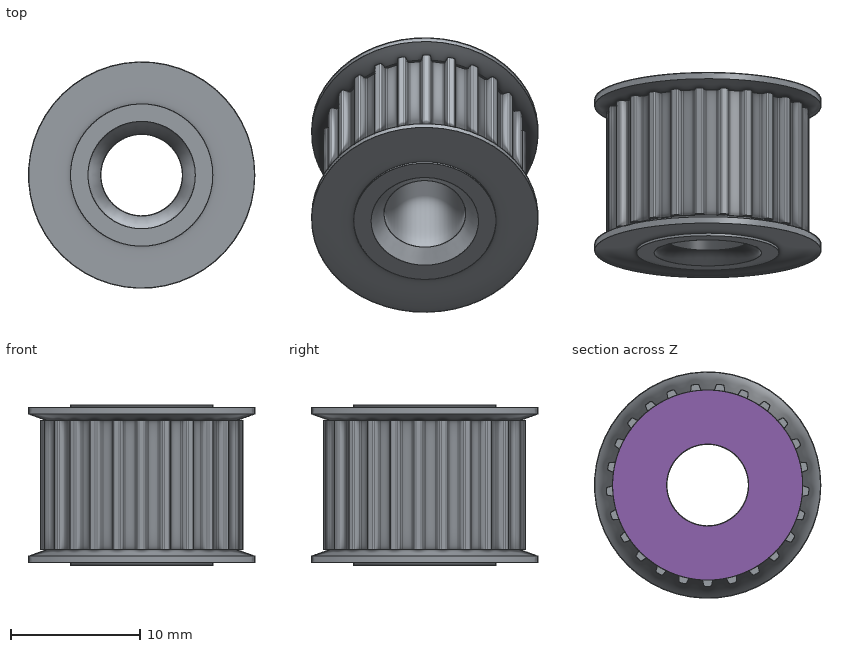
import cadquery as cq
import math

overall_length = 12.4
flange_outer_face_z = 6.0
flange_rim_thickness = 0.5
toothed_length = 10.0

flange_radius = 17.5 / 2
flange_cone_inner_radius = 7.35
hub_radius = 11.0 / 2
bore_radius = 6.3 / 2
bore_chamfer = 1.0

tooth_count = 25
tooth_tip_radius = 7.83
groove_depth = 0.64
groove_floor_width = 0.945
groove_flank_angle = math.radians(20)
tooth_rounding = 0.13
first_tooth_angle = -90.0

tooth_pitch_angle = 360.0 / tooth_count
groove_floor_radius = tooth_tip_radius - groove_depth
flange_rim_inner_z = flange_outer_face_z - flange_rim_thickness


def make_groove_cutter():
    """Trapezoidal prism for one belt groove, opening toward +X."""
    opening_radius = tooth_tip_radius + groove_depth
    flank_spread = (opening_radius - groove_floor_radius) * math.tan(groove_flank_angle)
    floor_half = groove_floor_width / 2
    opening_half = floor_half + flank_spread
    return (
        cq.Workplane("XY", origin=(0, 0, -toothed_length / 2))
        .polyline([
            (groove_floor_radius, -floor_half),
            (opening_radius, -opening_half),
            (opening_radius, opening_half),
            (groove_floor_radius, floor_half),
        ])
        .close()
        .extrude(toothed_length)
    )


def make_toothed_body():
    """Cylinder with evenly spaced belt grooves, rounded at every tooth tip and root."""
    body = (
        cq.Workplane("XY", origin=(0, 0, -toothed_length / 2))
        .circle(tooth_tip_radius)
        .extrude(toothed_length)
    )
    cutter = make_groove_cutter()
    for index in range(tooth_count):
        groove_angle = first_tooth_angle + (index + 0.5) * tooth_pitch_angle
        body = body.cut(cutter.rotate((0, 0, 0), (0, 0, 1), groove_angle))
    return body.edges("|Z").fillet(tooth_rounding)


def make_end_cap():
    """Upper flange with a conical inner face, topped by the raised hub face."""
    return (
        cq.Workplane("XZ")
        .polyline([
            (0, toothed_length / 2),
            (flange_cone_inner_radius, toothed_length / 2),
            (flange_radius, flange_rim_inner_z),
            (flange_radius, flange_outer_face_z),
            (hub_radius, flange_outer_face_z),
            (hub_radius, overall_length / 2),
            (0, overall_length / 2),
        ])
        .close()
        .revolve(360, (0, 0, 0), (0, 1, 0))
    )


def make_bore_cutter():
    """Through bore with a 45 degree chamfer at both ends."""
    half_length = overall_length / 2
    chamfer_start_z = half_length - bore_chamfer
    mouth_radius = bore_radius + bore_chamfer
    return (
        cq.Workplane("XZ")
        .polyline([
            (0, -half_length),
            (mouth_radius, -half_length),
            (bore_radius, -chamfer_start_z),
            (bore_radius, chamfer_start_z),
            (mouth_radius, half_length),
            (0, half_length),
        ])
        .close()
        .revolve(360, (0, 0, 0), (0, 1, 0))
    )


upper_cap = make_end_cap()
lower_cap = upper_cap.mirror("XY")
result = make_toothed_body().union(upper_cap).union(lower_cap).cut(make_bore_cutter())